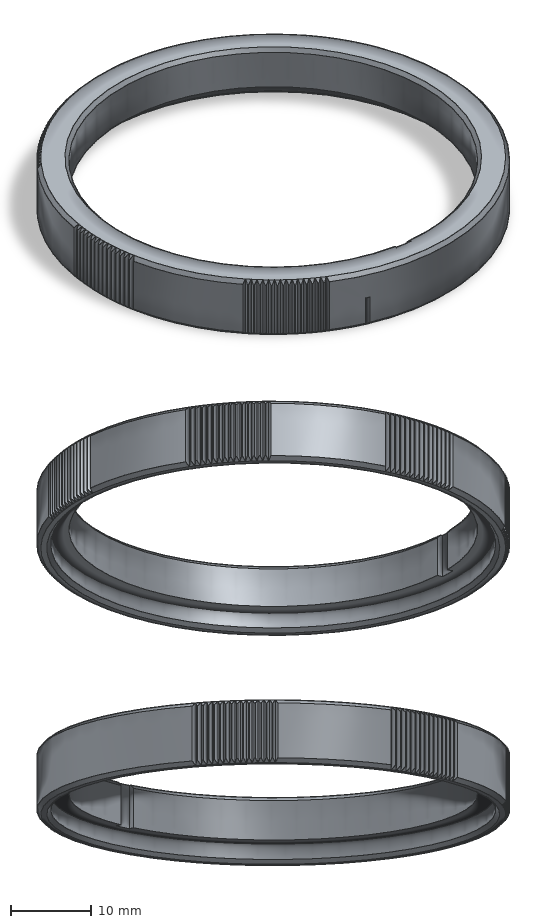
import cadquery as cq
OUTER_RADIUS = 29.5
HEIGHT = 8.0
BORE_RADIUS = 25.5
RECESS_RADIUS = 55.5 / 2
RECESS_DEPTH = 2.5
CHAMFER = 0.5

FRONT = 270.0

GROOVE_WIDTH = 0.6
GROOVE_DEPTH = 0.55

PATCH_COUNT = 5
PATCH_STEP = 50.0
FIRST_PATCH_ANGLE = FRONT - 159.85
GROOVES_PER_PATCH = 15
PATCH_SPAN = 20.0
GROOVE_PITCH = PATCH_SPAN / (GROOVES_PER_PATCH - 1)

KEYWAY_ANGLE = FRONT + 75.3
KEYWAY_WIDTH = 2.3
KEYWAY_FLOOR_RADIUS = 26.25

MARK_ANGLE = FRONT + 60.5
MARK_HEIGHT = 4.2


def turn(shape, angle):
    """Rotate a shape about the ring's axis."""
    return shape.rotate((0, 0, 0), (0, 0, 1), angle)


def ring_body():
    """Revolve the ring's cross-section about the Z axis."""
    profile = [
        (RECESS_RADIUS, CHAMFER),
        (RECESS_RADIUS + CHAMFER, 0),
        (OUTER_RADIUS - CHAMFER, 0),
        (OUTER_RADIUS, CHAMFER),
        (OUTER_RADIUS, HEIGHT - CHAMFER),
        (OUTER_RADIUS - CHAMFER, HEIGHT),
        (BORE_RADIUS + CHAMFER, HEIGHT),
        (BORE_RADIUS, HEIGHT - CHAMFER),
        (BORE_RADIUS, RECESS_DEPTH),
        (RECESS_RADIUS, RECESS_DEPTH),
    ]
    return cq.Workplane("XZ").polyline(profile).close().revolve(360, (0, 0, 0), (0, 1, 0))


def groove_cutter(angle, height):
    """Triangular prism that cuts a vertical V-groove in the outer wall."""
    overshoot = 1.5
    root = OUTER_RADIUS - GROOVE_DEPTH
    mouth = root + GROOVE_DEPTH * overshoot
    half_width = GROOVE_WIDTH / 2 * overshoot
    triangle = [(root, 0), (mouth, -half_width), (mouth, half_width)]
    prism = cq.Workplane("XY").polyline(triangle).close().extrude(height)
    return turn(prism, angle).val()


def knurl_cutters():
    """All the V-grooves of all the grip patches."""
    cutters = []
    for patch in range(PATCH_COUNT):
        start = FIRST_PATCH_ANGLE + patch * PATCH_STEP - PATCH_SPAN / 2
        for groove in range(GROOVES_PER_PATCH):
            cutters.append(groove_cutter(start + groove * GROOVE_PITCH, HEIGHT))
    return cutters


def keyway_cutter():
    """Parallel-sided bar with an end that is curved about the ring's axis."""
    bar = cq.Workplane("XY").box(OUTER_RADIUS, KEYWAY_WIDTH, HEIGHT, centered=(False, True, False))
    floor = cq.Workplane("XY").circle(KEYWAY_FLOOR_RADIUS).extrude(HEIGHT)
    return turn(bar.intersect(floor), KEYWAY_ANGLE)


index_mark = groove_cutter(MARK_ANGLE, MARK_HEIGHT)
grooves = cq.Compound.makeCompound(knurl_cutters() + [index_mark])

result = ring_body().cut(cq.Workplane(grooves)).cut(keyway_cutter())